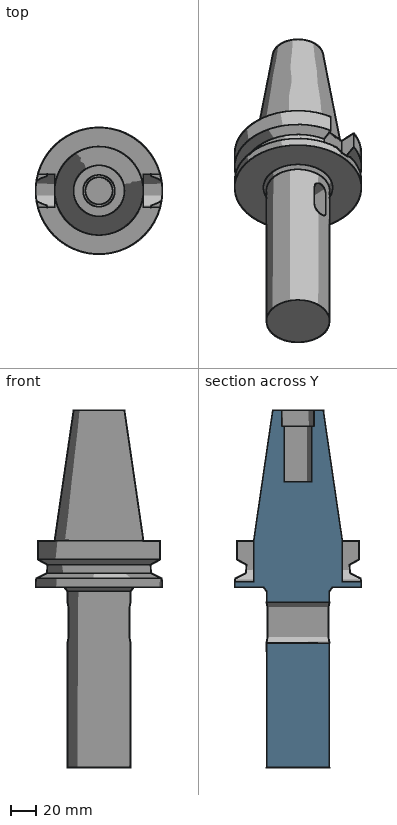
import cadquery as cq
import math

total_height = 281.8

taper_length = 101.7
taper_large_radius = 35.0
taper_ratio = 7 / 24
taper_small_radius = taper_large_radius - taper_length * taper_ratio / 2
taper_base_z = total_height - taper_length

collar_height = 1.5
flange_diameter = 100.0
flange_radius = flange_diameter / 2
flange_height = 36.5
flange_top_z = taper_base_z - collar_height
flange_bottom_z = flange_top_z - flange_height
upper_rim_height = 14.7
groove_top_z = flange_top_z - upper_rim_height
groove_width = 15.0
groove_bottom_z = groove_top_z - groove_width
groove_root_radius = 42.8
groove_wall_angle = math.radians(30)
groove_wall_height = (flange_radius - groove_root_radius) * math.tan(groove_wall_angle)

shank_diameter = 50.0
shank_radius = shank_diameter / 2
neck_radius = 27.3
neck_height = 3.0

keyway_width = 26.2
keyway_depth = 32.0
keyway_floor_x = 35.0

slot_offset = 11.8
slot_width = 13.0
slot_length = 31.8
slot_top_z = flange_bottom_z - slot_offset

counterbore_diameter = 25.0
counterbore_depth = 12.7
bore_diameter = 21.5
bore_depth = 56.5


def turned_body():
    profile = [
        (0, 0),
        (shank_radius, 0),
        (shank_radius, flange_bottom_z - neck_height),
        (neck_radius, flange_bottom_z),
        (flange_radius, flange_bottom_z),
        (flange_radius, groove_bottom_z),
        (groove_root_radius, groove_bottom_z + groove_wall_height),
        (groove_root_radius, groove_top_z - groove_wall_height),
        (flange_radius, groove_top_z),
        (flange_radius, flange_top_z),
        (taper_large_radius, flange_top_z),
        (taper_large_radius, taper_base_z),
        (taper_small_radius, total_height),
        (0, total_height),
    ]
    return cq.Workplane("XZ").polyline(profile).close().revolve(360, (0, 0), (0, 1))


def keyway_cutter():
    """Round-bottomed keyway on the +X side, open at the top of the flange."""
    half_width = keyway_width / 2
    bottom_z = flange_top_z - keyway_depth
    arc_z = bottom_z + half_width
    return (
        cq.Workplane("YZ", origin=(keyway_floor_x, 0, 0))
        .moveTo(-half_width, flange_top_z)
        .lineTo(-half_width, arc_z)
        .threePointArc((0, bottom_z), (half_width, arc_z))
        .lineTo(half_width, flange_top_z)
        .close()
        .extrude(flange_radius - keyway_floor_x)
    )


def drift_slot_cutter():
    return (
        cq.Workplane("YZ")
        .center(0, slot_top_z - slot_length / 2)
        .slot2D(slot_length, slot_width, 90)
        .extrude(shank_radius, both=True)
    )


result = turned_body()
for side_angle in (0, 180):
    result = result.cut(keyway_cutter().rotate((0, 0, 0), (0, 0, 1), side_angle))
result = result.cut(drift_slot_cutter())
result = (
    result.faces(">Z")
    .workplane(origin=(0, 0, total_height))
    .cboreHole(bore_diameter, counterbore_diameter, counterbore_depth, bore_depth)
)